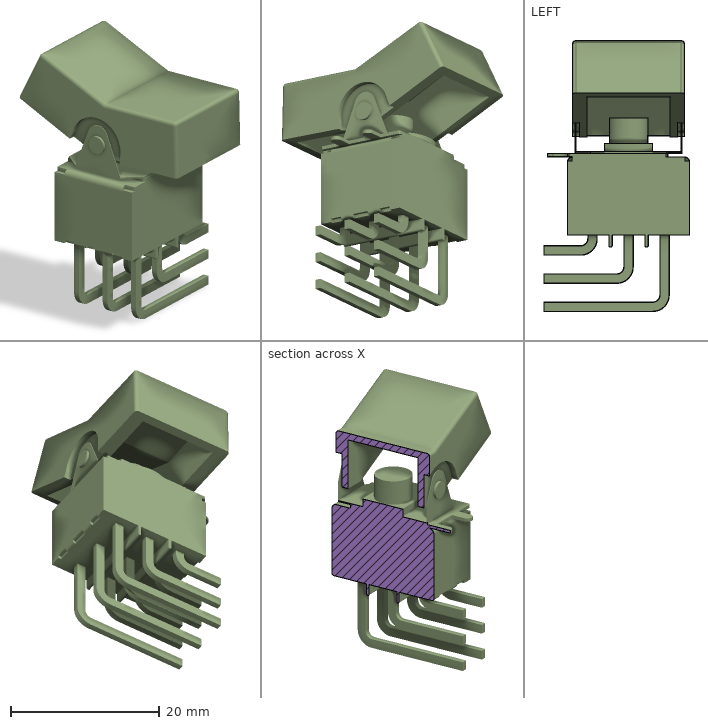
import cadquery as cq
import math


case_length = 12.75
case_width = 16.5
case_height = 10.55
bend_length = 9.55
bend_radius = 0.75
relief_depth = 0.65
relief_height = 0.55
foot_radius = 0.35
notch_height = 0.47
notch_depth = 0.47
side_notch_length = 1.7
centre_notch_length = 2.45

plate_thickness = 0.47
plate_front = -5.3
plate_corner = 0.22
tab_width = 1.55
tab_spacing = 5.1
tab_end = 10.95

sheet_length = 12.5
sheet_width = 14.38
sheet_thickness = 0.22
sheet_corner_x = 2.55
sheet_corner_y = 2.08
ear_thickness = 0.1
ear_base_half = 3.8
ear_tip_radius = 3.2 / 2
ear_tip_centre_height = 16.3

bushing_diameter = 11.4
bushing_width = 6.5
bushing_height = 1.13
lever_diameter = 5.2
lever_top = 15.75

pivot_height = 15.15
pivot_diameter = 2.45
rocker_tilt = 12.4
rocker_width = 15.15
rocker_top_half = 11.45
rocker_base_half = 13.4
rocker_top_apex = 6.42
rocker_top_end = 8.98
rocker_base_apex = -1.97
rocker_base_end = 1.15
rocker_round = 0.5
rocker_wall = 1.1
cavity_width = 11.17
recess_radius = 4.0
recess_depth = 0.95

pin_spacing_x = 4.7
pin_row_spacing = 4.85
pin_width = 0.8
pin_thickness = 1.28
pin_tip = 11.42
lowest_pin = -10.3
pin_level_step = 3.8
pin_bend_outer = 2.23
embed_depth = 0.35
rib_thickness = 0.47
rib_drop = 1.6
rib_round = 0.22

plate_top = case_height + plate_thickness
sheet_top = plate_top + sheet_thickness


def box(x_range, y_range, z_range):
    """Box spanning the given (low, high) pairs."""
    size = [high - low for low, high in (x_range, y_range, z_range)]
    corner = (x_range[0], y_range[0], z_range[0])
    return cq.Workplane("XY").box(*size, centered=False).translate(corner)


def centred(length, middle=0.0):
    return (middle - length / 2, middle + length / 2)


def edge_trim(edge_z, radius, inward):
    """Waste to remove for a rounded -Y case edge at edge_z; inward is 1 up or -1 down."""
    front = -case_width / 2
    axis_z = edge_z + inward * radius
    bar = box(centred(bend_length), (front, front + radius), sorted((edge_z, axis_z)))
    kept = (
        cq.Workplane("YZ", origin=(-bend_length / 2, front + radius, axis_z))
        .circle(radius)
        .extrude(bend_length)
    )
    return bar.cut(kept)


def make_case():
    case = box(centred(case_length), centred(case_width), (0, case_height))
    front = -case_width / 2
    half = bend_length / 2
    cuts = []

    for side in (-1, 1):
        x_range = sorted((side * half, side * case_length / 2))
        cuts.append(box(x_range, (front, front + relief_depth), (case_height - relief_height, case_height)))

    cuts.append(edge_trim(case_height, bend_radius, -1))
    cuts.append(edge_trim(0, foot_radius, 1))

    side_middle = half - side_notch_length / 2
    notches = ((-side_middle, side_notch_length), (0, centre_notch_length), (side_middle, side_notch_length))
    for middle, length in notches:
        cuts.append(box(centred(length, middle), (front, front + notch_depth), (0, notch_height)))

    for cut in cuts:
        case = case.cut(cut).cut(cut.mirror("XZ"))
    return case


def make_plate():
    back = case_width / 2
    plate = box(centred(case_length), (plate_front, back), (case_height, plate_top))
    plate = plate.edges("|Z").chamfer(plate_corner)
    tab_radius = tab_width / 2
    tip_centre = tab_end - tab_radius
    for x in (-tab_spacing / 2, tab_spacing / 2):
        tab = box(centred(tab_width, x), (0, tip_centre), (case_height, plate_top))
        tip = cq.Workplane("XY", origin=(x, tip_centre, case_height)).circle(tab_radius).extrude(plate_thickness)
        plate = plate.union(tab).union(tip)
    return plate


def make_bracket():
    x_edge = sheet_length / 2
    y_edge = sheet_width / 2
    x_corner = x_edge - sheet_corner_x
    y_corner = y_edge - sheet_corner_y
    outline = [
        (-x_edge, -y_corner), (-x_corner, -y_edge), (x_corner, -y_edge), (x_edge, -y_corner),
        (x_edge, y_corner), (x_corner, y_edge), (-x_corner, y_edge), (-x_edge, y_corner),
    ]
    bracket = cq.Workplane("XY", origin=(0, 0, plate_top)).polyline(outline).close().extrude(sheet_thickness)

    rise = ear_tip_centre_height - plate_top
    reach = math.hypot(ear_base_half, rise)
    normal = math.atan2(ear_base_half, rise) - math.asin(ear_tip_radius / reach)
    tangent_x = ear_tip_radius * math.cos(normal)
    tangent_z = ear_tip_centre_height + ear_tip_radius * math.sin(normal)
    ear = (
        cq.Workplane("XZ", origin=(0, -y_edge + ear_thickness, 0))
        .moveTo(-ear_base_half, plate_top)
        .lineTo(ear_base_half, plate_top)
        .lineTo(tangent_x, tangent_z)
        .threePointArc((0, ear_tip_centre_height + ear_tip_radius), (-tangent_x, tangent_z))
        .close()
        .extrude(ear_thickness)
    )
    return bracket.union(ear).union(ear.mirror("XZ"))


def make_bushing_and_lever():
    bushing = cq.Workplane("XY", origin=(0, 0, sheet_top)).circle(bushing_diameter / 2).extrude(bushing_height)
    flats = box(centred(bushing_diameter), centred(bushing_width), (sheet_top, sheet_top + bushing_height))
    lever = cq.Workplane("XY", origin=(0, 0, sheet_top)).circle(lever_diameter / 2).extrude(lever_top - sheet_top)
    return bushing.intersect(flats).union(lever)


def prism_along_y(points, y_range):
    """Prism of an X-Z outline spanning a (low, high) pair in Y."""
    low, high = y_range
    return cq.Workplane("XZ", origin=(0, high, 0)).polyline(points).close().extrude(high - low)


def make_rocker():
    wing_outline = [
        (0, rocker_base_apex), (rocker_base_half, rocker_base_end),
        (rocker_top_half, rocker_top_end), (0, rocker_top_apex),
    ]
    wing = prism_along_y(wing_outline, centred(rocker_width))
    above_base = cq.selectors.BoxSelector(
        (rocker_round, -rocker_width, rocker_base_end + rocker_round),
        (rocker_base_half, rocker_width, rocker_top_end + rocker_round),
    )
    wing = wing.edges(above_base).fillet(rocker_round)
    rocker = wing.union(wing.mirror("YZ"))

    end_slope = (rocker_base_half - rocker_top_half) / (rocker_top_end - rocker_base_end)
    top_half = rocker_top_half - rocker_wall
    top_end = rocker_top_end - rocker_wall
    below = rocker_base_apex - rocker_wall
    below_half = top_half + end_slope * (top_end - below)
    cavity_outline = [
        (-below_half, below), (below_half, below), (top_half, top_end),
        (0, rocker_top_apex - rocker_wall), (-top_half, top_end),
    ]
    rocker = rocker.cut(prism_along_y(cavity_outline, centred(cavity_width)))

    flare = recess_radius * math.tan(math.radians(rocker_tilt))
    recess = (
        cq.Workplane("XZ", origin=(0, -rocker_width / 2 + recess_depth, 0))
        .moveTo(-recess_radius - flare, -recess_radius)
        .lineTo(recess_radius + flare, -recess_radius)
        .lineTo(recess_radius, 0)
        .threePointArc((0, recess_radius), (-recess_radius, 0))
        .close()
        .extrude(recess_depth)
    )
    rocker = rocker.cut(recess).cut(recess.mirror("XZ"))

    stub_length = (rocker_width - cavity_width) / 2
    stub = cq.Workplane("XZ", origin=(0, -cavity_width / 2, 0)).circle(pivot_diameter / 2).extrude(stub_length)
    rocker = rocker.union(stub).union(stub.mirror("XZ"))
    return rocker.rotate((0, 0, 0), (0, 1, 0), rocker_tilt).translate((0, 0, pivot_height))


def make_terminal(x, row):
    """Right-angle pin; row -1 is the front, longest pin and row 1 the shortest."""
    front = row * pin_row_spacing - pin_thickness / 2
    bottom = lowest_pin + (row + 1) * pin_level_step
    bend_inner = pin_bend_outer - pin_thickness
    x_range = centred(pin_width, x)
    outline = (
        cq.Workplane("YZ", origin=(x_range[0], 0, 0))
        .moveTo(front, embed_depth)
        .lineTo(front, bottom + pin_bend_outer)
        .radiusArc((front + pin_bend_outer, bottom), -pin_bend_outer)
        .lineTo(pin_tip, bottom)
        .lineTo(pin_tip, bottom + pin_thickness)
        .lineTo(front + pin_bend_outer, bottom + pin_thickness)
        .radiusArc((front + pin_thickness, bottom + pin_bend_outer), bend_inner)
        .lineTo(front + pin_thickness, embed_depth)
        .close()
    )
    return outline.extrude(pin_width)


def make_rib(y):
    rib = box(centred(case_length), centred(rib_thickness, y), (-rib_drop, embed_depth))
    return rib.edges("|X and <Z").fillet(rib_round)


result = make_case().union(make_plate()).union(make_bracket()).union(make_bushing_and_lever()).union(make_rocker())
for row in (-1, 0, 1):
    for column in (-1, 0, 1):
        result = result.union(make_terminal(column * pin_spacing_x, row))
for side in (-1, 1):
    result = result.union(make_rib(side * pin_row_spacing / 2))